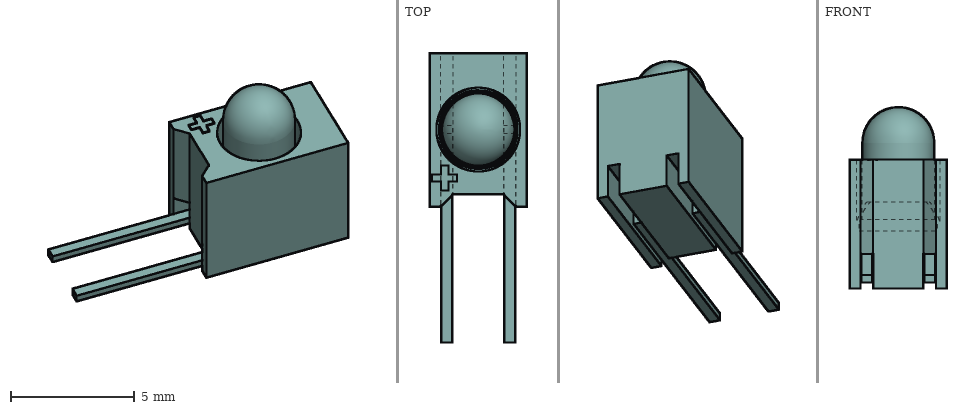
import cadquery as cq

width = 3.94
housing_depth = 6.23
housing_height = 5.23
overall_length = 11.73
back_y = overall_length / 2
front_y = back_y - housing_depth
notch_depth = 0.5
notch_half_width = 1.02

lamp_y = 2.77
lamp_radius = 1.47
overall_height = 7.37
dome_base_z = overall_height - lamp_radius
flange_radius = 1.54
flange_height = 0.47

mouth_radius = 1.7
bore_radius = 1.6
floor_z = 2.35
ledge_z = 3.52
groove_half_floor = 0.35
groove_half_top = 1.13
groove_depth = groove_half_top - groove_half_floor

lead_pitch = 2.55
lead_width = 0.46
lead_thickness = 0.32
lead_bottom_z = 0.25
channel_width = notch_depth
channel_height = 1.41

mark_x = -1.36
mark_y = 0.81
mark_length = 1.01
mark_stroke = 0.29
mark_depth = 0.04


def lead_positions():
    return [-lead_pitch / 2, lead_pitch / 2]


def upright_cylinder(radius, bottom_z, top_z):
    """Vertical cylinder on the lamp axis."""
    return (
        cq.Workplane("XY", origin=(0, lamp_y, bottom_z))
        .circle(radius)
        .extrude(top_z - bottom_z)
    )


def lead_shank(x):
    """Vertical part of a lead, from its bend up to the lamp base."""
    return (
        cq.Workplane("XY", origin=(x, lamp_y, lead_bottom_z))
        .rect(lead_width, lead_thickness)
        .extrude(floor_z - lead_bottom_z)
    )


def front_notch():
    """Full-height notch with sides at 45 degrees."""
    notch_y = front_y + notch_depth
    mouth_half_width = notch_half_width + notch_depth
    return (
        cq.Workplane("XY")
        .polyline([
            (-mouth_half_width, front_y),
            (-notch_half_width, notch_y),
            (notch_half_width, notch_y),
            (mouth_half_width, front_y),
        ])
        .close()
        .extrude(housing_height)
    )


def lead_channel(x):
    """Channel open at the base, running through the housing along Y."""
    return (
        cq.Workplane("XY", origin=(x, (front_y + back_y) / 2, 0))
        .rect(channel_width, housing_depth)
        .extrude(channel_height)
    )


def ledge_groove():
    """Groove along X with 45 degree flanks, sunk into the ledge as far as the bore mouth."""
    groove = (
        cq.Workplane("YZ", origin=(0, lamp_y, ledge_z))
        .polyline([
            (-groove_half_top, 0),
            (-groove_half_floor, -groove_depth),
            (groove_half_floor, -groove_depth),
            (groove_half_top, 0),
        ])
        .close()
        .extrude(mouth_radius, both=True)
    )
    return groove.intersect(upright_cylinder(mouth_radius, floor_z, ledge_z))


def lamp_bore():
    """Bore with a wider mouth and a groove across the ledge between them."""
    bore = upright_cylinder(bore_radius, floor_z, housing_height)
    mouth = upright_cylinder(mouth_radius, ledge_z, housing_height)
    return bore.union(mouth).union(ledge_groove())


def polarity_mark():
    """Shallow plus-shaped recess in the top face."""
    plane = cq.Workplane("XY", origin=(mark_x, mark_y, housing_height - mark_depth))
    bar = plane.rect(mark_length, mark_stroke).extrude(mark_depth)
    return bar.union(plane.rect(mark_stroke, mark_length).extrude(mark_depth))


def make_housing():
    body = (
        cq.Workplane("XY", origin=(0, (front_y + back_y) / 2, 0))
        .rect(width, housing_depth)
        .extrude(housing_height)
    )
    body = body.cut(front_notch()).cut(lamp_bore()).cut(polarity_mark())
    for x in lead_positions():
        body = body.cut(lead_channel(x)).cut(lead_shank(x))
    return body


def make_lead(x):
    """L-shaped lead: a shank under the lamp and a long leg to the front."""
    leg_back_y = lamp_y + lead_thickness / 2
    leg_length = leg_back_y + overall_length / 2
    leg = (
        cq.Workplane("XY", origin=(x, leg_back_y - leg_length / 2, lead_bottom_z))
        .rect(lead_width, leg_length)
        .extrude(lead_thickness)
    )
    return leg.union(lead_shank(x))


def make_lamp():
    """Domed lamp with its base flange and both leads."""
    lamp = upright_cylinder(lamp_radius, floor_z, dome_base_z)
    dome = cq.Workplane("XY", origin=(0, lamp_y, dome_base_z)).sphere(lamp_radius)
    lamp = lamp.union(dome)
    lamp = lamp.union(upright_cylinder(flange_radius, floor_z, floor_z + flange_height))
    for x in lead_positions():
        lamp = lamp.union(make_lead(x))
    return lamp


housing = make_housing()
lamp = make_lamp()

result = cq.Compound.makeCompound([housing.val(), lamp.val()])